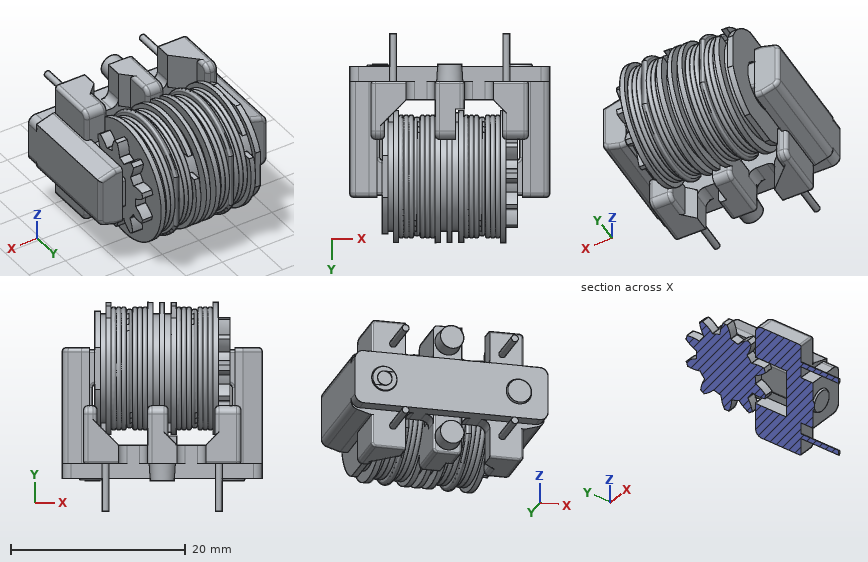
import cadquery as cq
import math


half_length = 11.5
half_height = 7.75
spool_radius = 7.6
overall_depth = 24
pin_tip_y = spool_radius - overall_depth

foot_y = -10.92
base_front_y = -12.65
base_back_y = -8.78
base_half_height = 3.2
base_corner_radius = 1.0
leg_top_y = 2.4
leg_inner_x = 8.35
leg_taper_x = 9.26
leg_half_height = 3.86
leg_corner_radius = 0.95
leg_top_radius = 0.48

core_inner_x = 8.02
core_top_y = 2.15
core_bottom_y = -1.85
core_half_depth = 2.02
core_edge_radius = 0.3
core_corner_radius = 0.35

end_plate_x = -7.78
end_plate_width = 0.7
end_plate_radius = 7.0
end_plate_flat = 6.58
bore_radius = 2.98
bore_step_radius = 2.88
bore_step_depth = 0.25
hub_radius = 6.3
flange_width = 0.62
first_flange_x = -6.48
chamber_pitch = 7.5
chamber_width = 4.18
middle_flange_x = -0.3
middle_flange_width = 0.55
notch_bottom_z = 2.5
notch_top_z = 4.92
tab_width = 0.58
tab_half_depth = 0.85
tab_tip_y = -7.35

winding_radius = 7.08
wire_pitch = 0.58
turns_per_group = 3
winding_center_radius = winding_radius - wire_pitch / 2
gap_floor_radius = 6.48
crossover_width = 0.67
crossover_half_y = 6.82
crossover_radius = 7.65
crossover_edge_radius = 0.3

gear_end_x = 7.8
gear_teeth = 10
gear_tip_radius = 6
gear_root_radius = 4.32
tooth_tip_half = 0.3
tooth_root_half = 0.82
tooth_flank_bulge = 0.1
gear_phase_angle = 1

post_top_y = -4.27
post_outer_x = 9.02
post_inner_x = 5.02
left_upright_inner_x = -7.5
right_upright_inner_x = 6.05
middle_post_half = 1.68
middle_upright_inner_x = 0.67
lower_shoulder_y = -7.73
post_side_radius = 0.48
post_top_radius = 0.95
post_foot_radius = 0.22
post_root_radius = 0.95

peg_z = 5.8
button_x = 8.02
peg_tip_y = -12.9
peg_base_radius = 1.5
peg_tip_radius = 1.4
swirl_radius = 0.86
swirl_depth = 0.12
pin_x = 6.5
pin_z = 5.02
pin_radius = 0.4
pin_embed = 0.25


def block(x0, x1, y0, y1, z0, z1):
    """Axis-aligned box given by its limits."""
    return cq.Workplane("XY").box(x1 - x0, y1 - y0, z1 - z0, centered=False).translate((x0, y0, z0))


def disc(x0, x1, radius):
    """Cylinder about the spool axis."""
    return cq.Workplane("YZ", origin=(x0, 0, 0)).circle(radius).extrude(x1 - x0)


def plan_plane(y):
    """Sketch plane at height y whose local axes are X and Z; it extrudes towards -Y."""
    return cq.Workplane("XZ", origin=(0, y, 0))


def make_leg(side):
    """Tapered plastic leg; the +X leg keeps one sharp outer corner at +Z."""
    outline = [
        (leg_inner_x, -leg_half_height),
        (leg_taper_x, -leg_half_height),
        (half_length, -base_half_height),
        (half_length, base_half_height),
        (leg_taper_x, leg_half_height),
        (leg_inner_x, leg_half_height),
    ]
    outline = [(side * x, z) for x, z in outline]
    leg = plan_plane(leg_top_y).polyline(outline).close().extrude(leg_top_y - foot_y)
    corner_signs = (-1,) if side > 0 else (-1, 1)
    for sign in corner_signs:
        corner = (side * half_length, 0, sign * base_half_height)
        leg = leg.edges("|Y").edges(cq.NearestToPointSelector(corner)).fillet(leg_corner_radius)
    inner_edge = "<X" if side > 0 else ">X"
    return leg.faces(">Y").edges("not " + inner_edge).fillet(leg_top_radius)


def make_base():
    """Front bar with rounded ends and the wall behind it that joins the posts."""
    front_bar = block(-half_length, half_length, base_front_y, foot_y, -base_half_height, base_half_height)
    front_bar = front_bar.edges("|Y").fillet(base_corner_radius)
    wall = block(-post_outer_x, post_outer_x, foot_y, base_back_y, -base_half_height, base_half_height)
    return front_bar.union(wall)


def make_core():
    """Rectangular bar through the spool and the two inner faces of the core's side limbs."""
    core = block(-leg_taper_x, leg_taper_x, foot_y, core_top_y, -core_half_depth, core_half_depth)
    window = block(-core_inner_x, core_inner_x, foot_y, core_bottom_y, -core_half_depth, core_half_depth)
    window = window.edges("|Z and >Y").fillet(core_corner_radius)
    return core.cut(window).faces("|Z").edges().fillet(core_edge_radius)


def add_turns(profile, x):
    """Continue a half profile with the scalloped outline of one group of turns starting at x."""
    valley_radius = winding_center_radius
    profile = profile.lineTo(x, valley_radius)
    for _ in range(turns_per_group):
        crest = (x + wire_pitch / 2, winding_radius)
        x += wire_pitch
        profile = profile.threePointArc(crest, (x, valley_radius))
    return profile


def make_winding_chamber(x0):
    """Two flanges, the first one notched, with a crossover ring between two groups of turns."""
    x1 = x0 + flange_width
    x2 = x1 + chamber_width
    x3 = x2 + flange_width
    group_width = turns_per_group * wire_pitch
    profile = cq.Workplane("XY").moveTo(x0, 0).lineTo(x0, spool_radius).lineTo(x1, spool_radius)
    profile = add_turns(profile, x1)
    profile = profile.lineTo(x1 + group_width, gap_floor_radius).lineTo(x2 - group_width, gap_floor_radius)
    profile = add_turns(profile, x2 - group_width)
    profile = profile.lineTo(x2, spool_radius).lineTo(x3, spool_radius).lineTo(x3, 0).close()
    chamber = profile.revolve(360, (0, 0, 0), (1, 0, 0))
    crossover_x = (x1 + x2 - crossover_width) / 2
    crossover_end_x = crossover_x + crossover_width
    crossover = disc(crossover_x, crossover_end_x, crossover_radius).intersect(
        block(crossover_x, crossover_end_x, -crossover_half_y, crossover_half_y,
              -crossover_radius, crossover_radius)
    )
    crossover = crossover.edges("not |X").fillet(crossover_edge_radius)
    notch = block(x0, x1, 0, spool_radius, notch_bottom_z, notch_top_z).cut(disc(x0, x1, hub_radius))
    tab = block(x0 - tab_width, x0, tab_tip_y, 0, -tab_half_depth, tab_half_depth)
    return chamber.union(crossover).cut(notch).union(tab)


def make_gear():
    """Toothed wheel on the outer face of the last flange."""
    start_x = first_flange_x + chamber_pitch + chamber_width + 2 * flange_width
    gear = disc(start_x, gear_end_x, gear_root_radius)
    flank_middle_radius = (gear_root_radius + gear_tip_radius) / 2
    flank_middle_half = (tooth_root_half + tooth_tip_half) / 2 + tooth_flank_bulge
    tooth = (
        cq.Workplane("YZ", origin=(start_x, 0, 0))
        .moveTo(0, -tooth_root_half)
        .lineTo(gear_root_radius, -tooth_root_half)
        .threePointArc((flank_middle_radius, -flank_middle_half), (gear_tip_radius, -tooth_tip_half))
        .lineTo(gear_tip_radius, tooth_tip_half)
        .threePointArc((flank_middle_radius, flank_middle_half), (gear_root_radius, tooth_root_half))
        .lineTo(0, tooth_root_half)
        .close()
        .extrude(gear_end_x - start_x)
    )
    for index in range(gear_teeth):
        angle = 90 - gear_phase_angle + index * 360 / gear_teeth
        gear = gear.union(tooth.rotate((0, 0, 0), (1, 0, 0), angle))
    return gear


def make_spool():
    """End plate with stepped bore, hub, middle flange, two winding chambers and the gear."""
    plate_end_x = end_plate_x + end_plate_width
    plate = disc(end_plate_x, plate_end_x, end_plate_radius)
    flat = end_plate_flat
    plate = plate.intersect(block(end_plate_x, plate_end_x, -flat, flat, -flat, flat))
    plate = plate.cut(disc(end_plate_x, plate_end_x, bore_radius))
    second_chamber_x = first_flange_x + chamber_pitch
    spool = disc(plate_end_x, second_chamber_x, hub_radius)
    spool = spool.cut(disc(plate_end_x, plate_end_x + bore_step_depth, bore_step_radius)).union(plate)
    spool = spool.union(disc(middle_flange_x, middle_flange_x + middle_flange_width, spool_radius))
    for chamber_x in (first_flange_x, second_chamber_x):
        spool = spool.union(make_winding_chamber(chamber_x))
    return spool.union(make_gear())


def make_upright(x0, x1):
    """Post column on the +Z side, rounded along its top and its outer long edges."""
    column = block(x0, x1, foot_y, post_top_y, base_half_height, half_height)
    column = column.edges(">Y and >Z").fillet(post_top_radius)
    return column.faces(">Z").edges("|Y").fillet(post_side_radius)


def make_sloped_foot(upright_inner_x, foot_inner_x):
    """Sharp-edged gusset falling at 45 degrees from the column to the inner end of the foot."""
    direction = math.copysign(1, foot_inner_x - upright_inner_x)
    start_x = upright_inner_x - direction * post_side_radius
    start_y = base_back_y + abs(foot_inner_x - start_x)
    outline = [(start_x, start_y), (foot_inner_x, base_back_y), (foot_inner_x, foot_y), (start_x, foot_y)]
    foot = cq.Workplane("XY", origin=(0, 0, base_half_height)).polyline(outline).close()
    return foot.extrude(half_height - base_half_height)


def round_foot(post):
    """Soften the outer rim of the post's foot."""
    return post.faces("<Y").edges(">Z").fillet(post_foot_radius)


def make_root_blend(x, direction):
    """Concave blend between a post side at x and the +Z face of the base wall."""
    r = post_root_radius
    blend = block(min(x, x + direction * r), max(x, x + direction * r), foot_y, base_back_y,
                  base_half_height, base_half_height + r)
    scoop = plan_plane(base_back_y).center(x + direction * r, base_half_height + r).circle(r)
    return blend.cut(scoop.extrude(base_back_y - foot_y))


def make_terminal_posts():
    """Left and right posts with their pins on the +Z side."""
    left = make_upright(-post_outer_x, left_upright_inner_x)
    left = left.union(make_sloped_foot(left_upright_inner_x, -post_inner_x))
    right = make_upright(right_upright_inner_x, post_outer_x)
    right = right.union(make_sloped_foot(right_upright_inner_x, post_inner_x))
    posts = round_foot(left).union(round_foot(right))
    posts = posts.union(make_root_blend(-post_inner_x, 1)).union(make_root_blend(post_inner_x, -1))
    pin_root_y = foot_y + pin_embed
    pins = plan_plane(pin_root_y).pushPoints([(-pin_x, pin_z), (pin_x, pin_z)]).circle(pin_radius)
    return posts.union(pins.extrude(pin_root_y - pin_tip_y))


def make_middle_roots():
    """Concave blends on both sides of a middle post."""
    return make_root_blend(-middle_post_half, -1).union(make_root_blend(middle_post_half, 1))


def make_upper_middle_post():
    """Middle post on the +Z side with a sloped gusset towards +X."""
    post = make_upright(-middle_post_half, middle_upright_inner_x)
    post = post.union(make_sloped_foot(middle_upright_inner_x, middle_post_half))
    return post.union(make_middle_roots())


def make_lower_middle_post():
    """Mirrored middle post: full-width rounded foot with a square shoulder below the column."""
    post = make_upright(-middle_post_half, middle_post_half)
    shoulder = block(middle_upright_inner_x, middle_post_half, lower_shoulder_y, post_top_y,
                     base_half_height, half_height)
    post = round_foot(post.cut(shoulder))
    return post.union(make_middle_roots()).mirror("XY")


def make_peg(x, z, start_y):
    """Conical peg pointing towards -Y."""
    axis = cq.Vector(0, -1, 0)
    base = cq.Vector(x, start_y, z)
    return cq.Workplane(cq.Solid.makeCone(peg_base_radius, peg_tip_radius, start_y - peg_tip_y, base, axis))


def make_swirl_recess():
    """Two half-turn steps of different depth around the left button's central disc."""
    r = peg_base_radius
    deep_y = peg_tip_y + swirl_depth
    shallow_y = peg_tip_y + swirl_depth / 2
    deep = block(0, r, peg_tip_y, deep_y, -r, swirl_radius)
    deep = deep.union(block(-r, 0, peg_tip_y, deep_y, -r, -swirl_radius))
    shallow = block(-r, r, peg_tip_y, shallow_y, -r, r)
    center = plan_plane(deep_y).circle(swirl_radius).extrude(swirl_depth)
    return shallow.union(deep).cut(center).translate((-button_x, 0, 0))


posts = make_terminal_posts()
result = make_base().union(make_core()).union(make_spool())
for side in (-1, 1):
    result = result.union(make_leg(side))
    result = result.union(make_peg(side * button_x, 0, base_front_y))
    result = result.union(make_peg(0, side * peg_z, foot_y))
result = result.union(posts).union(posts.mirror("XY"))
result = result.union(make_upper_middle_post()).union(make_lower_middle_post())
result = result.cut(make_swirl_recess())